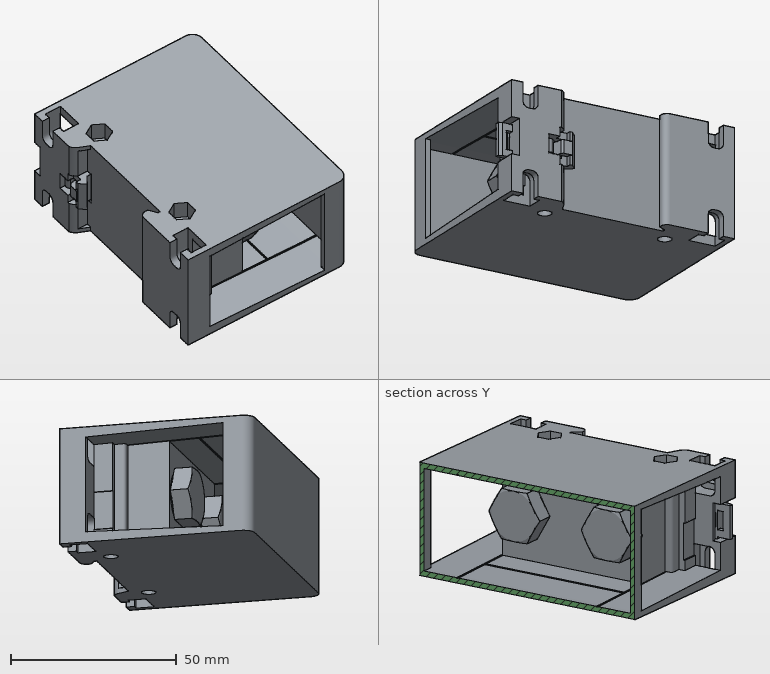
import cadquery as cq
import math

LENGTH = 78.0
DEPTH = 60.05
WIDTH = 36.0
MID_X = LENGTH / 2
HALF_WIDTH = WIDTH / 2
CORNER_RADIUS = 3.5

RAIL_FLOOR_Y = 5.5
LATCH_SIDE_X = 21.0
LATCH_LIP_X = 19.4
LATCH_ROUND = 2.0
LATCH_BULGE = 0.25
END_RIB_WIDTH = 1.6
FIXED_SIDE_X = 56.2
JAW_ROOT_Y = 4.7
JAW_TIP_X = 53.5
JAW_TIP_Y = 2.95
JAW_ROUND = 2.0

END_WALL = 1.75
BACK_WALL = 2.0
FLOOR_Y = 8.15
WINDOW_TOP_Y = 51.1
DRAFT_END_Y = 52.8
WALL_AT_FLOOR = 3.2
WALL_AT_TOP = 1.85

BLOCK_X = 13.9
BLOCK_TOP_Y = 30.5
LEDGE_X = 9.0
LEDGE_TOP_Y = 14.0
LEDGE_RECESS = 0.5
LEDGE_RECESS_LENGTH = 11.7
SHELF_X = 11.2
SHELF_TOP_Y = 17.5
SHELF_ROUND = 0.95
SEAM_WIDTH = 0.4
SEAM_DEPTH = 0.2
SEAM_Y = 39.6

BOLT_X = 22.25
BOLT_FLATS = 16.0
BOLT_HEAD_HEIGHT = 5.9
BOLT_COLLAR_DIAMETER = 15.0
BOLT_COLLAR_HEIGHT = 0.5
BOLT_EDGE = 0.4

SCREW_X = 18.0
SCREW_Y = 11.0
SCREW_HOLE = 4.4
NUT_FLATS = 7.0
NUT_DEPTH = 6.0

MOUNT_X = 6.6
HEAD_WIDTH = 9.2
HEAD_Y = 2.6
HEAD_TOP_Y = 8.2
NECK_WIDTH = 5.3
NECK_LENGTH = 8.0
MOUNT_RADIUS = 2.05
HEAD_LENGTH = NECK_LENGTH + (HEAD_WIDTH - NECK_WIDTH) / 2

SLIDE_WIDTH = 10.7
SLOT_WIDTH = 12.0
TAB_OVERHANG = 2.0
TAB_SLOT_LENGTH = 2.7
TAB_BOTTOM_Y = 4.15
TAB_TOP_Y = 5.85
TAB_EDGE_Y = 4.6
TAB_CHAMFER_X = -0.75
TAB_HOLE_X = 0.55
GUIDE_TOP_Y = 7.0
GUIDE_LENGTH = 3.0
GUIDE_KEY_SETBACK = 0.5
SPRING_WIDTH = 4.4
SPRING_POCKET_X = 13.0
SPRING_POCKET_END_X = 18.7
SPRING_POCKET_WIDTH = 6.1
SPRING_POCKET_Y = 4.5
SPRING_END_X = 21.3
HEEL_TOP_Y = 1.2
HEEL_SIDE_Y = 1.9
HEEL_END_X = 15.6
VALLEY_Y = 3.8
VALLEY_START_X = 16.2
VALLEY_END_X = 16.9
RISE_END_X = 17.6
FLAT_START_X = 18.2
FLAT_START_Y = 0.6
FOOT_SLOT_X = 16.9
FOOT_SLOT_Y = 6.2
FOOT_BAR_Y = 2.1
HOOK_X = 20.6
HOOK_BOTTOM_Y = 0.4
HOOK_TOP_Y = 4.5
HOOK_TIP_X = 23.4
HOOK_TIP_Y = 2.5
HOOK_FACE_X = 21.5


def box(x0, x1, y0, y1, z0, z1):
    """Box between two opposite corners."""
    return cq.Workplane("XY").box(x1 - x0, y1 - y0, z1 - z0, centered=False).translate((x0, y0, z0))


def centered_box(x0, x1, y0, y1, width):
    """Box spread evenly about the middle plane Z = 0."""
    return box(x0, x1, y0, y1, -width / 2, width / 2)


def extruded(profile, width):
    """Closed XY profile extruded evenly about Z = 0."""
    return profile.close().extrude(width / 2, both=True)


def both_ends(shape):
    """The shape together with its mirror image at the other X end."""
    return shape.union(shape.mirror("YZ", (MID_X, 0, 0)))


def both_sides(shape):
    """The shape together with its mirror image about Z = 0."""
    return shape.union(shape.mirror("XY"))


def housing_body():
    diagonal = math.sqrt(0.5)
    jaw_mid_x = JAW_TIP_X + JAW_ROUND * (1 - diagonal)
    jaw_mid_y = JAW_ROUND * (1 - diagonal)
    lip_start_x = LATCH_LIP_X - LATCH_ROUND
    lip_mid_x = LATCH_LIP_X - LATCH_ROUND / 2 + LATCH_BULGE * diagonal
    lip_mid_y = LATCH_ROUND / 2 - LATCH_BULGE * diagonal
    profile = (
        cq.Workplane("XY")
        .moveTo(0, 0)
        .lineTo(lip_start_x, 0)
        .threePointArc((lip_mid_x, lip_mid_y), (LATCH_LIP_X, LATCH_ROUND))
        .lineTo(LATCH_SIDE_X, RAIL_FLOOR_Y)
        .lineTo(FIXED_SIDE_X, RAIL_FLOOR_Y)
        .lineTo(FIXED_SIDE_X, JAW_ROOT_Y)
        .lineTo(JAW_TIP_X, JAW_TIP_Y)
        .lineTo(JAW_TIP_X, JAW_ROUND)
        .threePointArc((jaw_mid_x, jaw_mid_y), (JAW_TIP_X + JAW_ROUND, 0))
        .lineTo(LENGTH, 0)
        .lineTo(LENGTH, DEPTH)
        .lineTo(0, DEPTH)
    )
    body = extruded(profile, WIDTH)
    body = body.edges("|Z and >Y").fillet(CORNER_RADIUS)
    relief = centered_box(
        LATCH_LIP_X, LATCH_SIDE_X, LATCH_ROUND, RAIL_FLOOR_Y, WIDTH - 2 * END_RIB_WIDTH
    )
    return body.cut(relief)


def cavity():
    """Drafted through tunnel, closed towards +Y by the back wall."""
    floor_z = HALF_WIDTH - WALL_AT_FLOOR
    top_z = HALF_WIDTH - WALL_AT_TOP
    back_y = DEPTH - BACK_WALL
    tunnel = (
        cq.Workplane("YZ")
        .polyline([
            (FLOOR_Y, -floor_z),
            (DRAFT_END_Y, -top_z),
            (back_y, -top_z),
            (back_y, top_z),
            (DRAFT_END_Y, top_z),
            (FLOOR_Y, floor_z),
        ])
        .close()
        .extrude(LENGTH)
    )
    window_lintel = both_ends(centered_box(0, END_WALL, WINDOW_TOP_Y, DEPTH, WIDTH))
    return tunnel.cut(window_lintel)


def terminal_ledges():
    """Stepped ledges at the foot of the central block, at both ends."""
    shelf = centered_box(SHELF_X, BLOCK_X, FLOOR_Y, SHELF_TOP_Y, WIDTH)
    shelf = shelf.edges("<X and >Y").fillet(SHELF_ROUND)
    ledge = centered_box(LEDGE_X, BLOCK_X, FLOOR_Y, LEDGE_TOP_Y, WIDTH)
    recess = box(LEDGE_X, LEDGE_X + LEDGE_RECESS, FLOOR_Y, LEDGE_TOP_Y, -LEDGE_RECESS_LENGTH, 0)
    return both_ends(shelf.union(ledge.cut(recess)))


def central_block():
    block = centered_box(BLOCK_X, LENGTH - BLOCK_X, FLOOR_Y, BLOCK_TOP_Y, WIDTH)
    return block.union(terminal_ledges())


def side_wall_seams():
    """Shallow grooves in the drafted cavity side walls, beside and above the block."""
    back_y = DEPTH - BACK_WALL
    cross = box(BLOCK_X - SEAM_WIDTH, BLOCK_X, SHELF_TOP_Y, back_y, 0, WIDTH)
    cross = both_ends(cross)
    along = box(BLOCK_X, LENGTH - BLOCK_X, SEAM_Y, SEAM_Y + SEAM_WIDTH, 0, WIDTH)
    grown_cavity = cavity().translate((0, 0, SEAM_DEPTH))
    return both_sides(cross.union(along).intersect(grown_cavity))


def terminal_bolt():
    collar = (
        cq.Workplane("XZ", origin=(BOLT_X, BLOCK_TOP_Y, 0))
        .circle(BOLT_COLLAR_DIAMETER / 2)
        .extrude(-BOLT_COLLAR_HEIGHT)
    )
    head_base_y = BLOCK_TOP_Y + BOLT_COLLAR_HEIGHT
    corner_diameter = BOLT_FLATS / math.cos(math.pi / 6)
    head = (
        cq.Workplane("XZ", origin=(BOLT_X, head_base_y, 0))
        .polygon(6, corner_diameter)
        .extrude(-BOLT_HEAD_HEIGHT)
    )
    rounding = (
        cq.Workplane("XZ", origin=(BOLT_X, head_base_y, 0))
        .circle(corner_diameter / 2)
        .extrude(-BOLT_HEAD_HEIGHT)
        .faces(">Y")
        .chamfer(BOLT_EDGE, corner_diameter / 2 - BOLT_FLATS / 2)
    )
    return collar.union(head.intersect(rounding))


def screw_hole():
    hole = cq.Workplane("XY").center(SCREW_X, SCREW_Y).circle(SCREW_HOLE / 2)
    hole = hole.extrude(HALF_WIDTH, both=True)
    nut = (
        cq.Workplane("XY", origin=(SCREW_X, SCREW_Y, HALF_WIDTH - NUT_DEPTH))
        .polygon(6, NUT_FLATS / math.cos(math.pi / 6))
        .extrude(NUT_DEPTH)
    )
    return hole.union(nut)


def mounting_pocket():
    """Rounded screw neck open to -Y and a wider head pocket behind it."""
    def arm(width, length, y0, y1):
        half = width / 2
        shape = box(MOUNT_X - half, MOUNT_X + half, y0, y1, HALF_WIDTH - length, HALF_WIDTH)
        return shape.edges("|Y and <Z").fillet(MOUNT_RADIUS)

    neck = arm(NECK_WIDTH, NECK_LENGTH, 0, HEAD_TOP_Y)
    head = arm(HEAD_WIDTH, HEAD_LENGTH, HEAD_Y, HEAD_TOP_Y)
    return neck.union(head)


def foot_openings():
    """Openings in the housing for the release tab, spring and hook of the foot."""
    tab_slot = centered_box(0, TAB_SLOT_LENGTH, 0, FLOOR_Y, SLOT_WIDTH)
    guide_end = TAB_SLOT_LENGTH + GUIDE_LENGTH
    guide = centered_box(TAB_SLOT_LENGTH, guide_end, TAB_TOP_Y, GUIDE_TOP_Y, SLOT_WIDTH)
    spring_pocket = centered_box(
        SPRING_POCKET_X, SPRING_POCKET_END_X, 0, SPRING_POCKET_Y, SPRING_POCKET_WIDTH
    )
    hook_slot = centered_box(FOOT_SLOT_X, SPRING_END_X, 0, FOOT_SLOT_Y, SLOT_WIDTH)
    return tab_slot.union(guide).union(spring_pocket).union(hook_slot)


def release_tab():
    profile = cq.Workplane("XY").polyline([
        (-TAB_OVERHANG, TAB_TOP_Y),
        (-TAB_OVERHANG, TAB_EDGE_Y),
        (TAB_CHAMFER_X, TAB_BOTTOM_Y),
        (TAB_SLOT_LENGTH, TAB_BOTTOM_Y),
        (TAB_SLOT_LENGTH, TAB_TOP_Y),
    ])
    hole = centered_box(
        TAB_HOLE_X, TAB_SLOT_LENGTH, TAB_BOTTOM_Y, TAB_TOP_Y, SPRING_POCKET_WIDTH
    )
    guide_end = TAB_SLOT_LENGTH + GUIDE_LENGTH
    guide_start = TAB_SLOT_LENGTH + GUIDE_KEY_SETBACK
    guide_key = centered_box(guide_start, guide_end, TAB_TOP_Y, GUIDE_TOP_Y, SPRING_WIDTH)
    return extruded(profile, SLIDE_WIDTH).cut(hole).union(guide_key)


def rail_hook():
    profile = cq.Workplane("XY").polyline([
        (FOOT_SLOT_X, FOOT_BAR_Y),
        (HOOK_X, FOOT_BAR_Y),
        (HOOK_X, HOOK_BOTTOM_Y),
        (HOOK_FACE_X, HOOK_BOTTOM_Y),
        (HOOK_TIP_X, HOOK_TIP_Y),
        (HOOK_X, HOOK_TOP_Y),
        (HOOK_X, FOOT_SLOT_Y),
        (FOOT_SLOT_X, FOOT_SLOT_Y),
    ])
    bar = extruded(profile, SLIDE_WIDTH)
    pocket = centered_box(
        FOOT_SLOT_X, SPRING_POCKET_END_X, FOOT_BAR_Y, SPRING_POCKET_Y, SPRING_POCKET_WIDTH
    )
    return bar.cut(pocket)


def spring_tongue():
    """Spring strip: a convex heel, a valley, then a steep rise to the flat end at the hook."""
    heel_mid_x = (SPRING_POCKET_X + HEEL_END_X) / 2
    profile = (
        cq.Workplane("XY")
        .moveTo(SPRING_POCKET_X, SPRING_POCKET_Y)
        .lineTo(SPRING_POCKET_X, HEEL_SIDE_Y)
        .threePointArc((heel_mid_x, HEEL_TOP_Y), (HEEL_END_X, HEEL_SIDE_Y))
        .lineTo(VALLEY_START_X, VALLEY_Y)
        .lineTo(VALLEY_END_X, VALLEY_Y)
        .lineTo(RISE_END_X, FLAT_START_Y)
        .lineTo(FLAT_START_X, 0)
        .lineTo(SPRING_END_X, 0)
        .lineTo(SPRING_END_X, FOOT_BAR_Y)
        .lineTo(SPRING_POCKET_END_X, FOOT_BAR_Y)
        .lineTo(SPRING_POCKET_END_X, SPRING_POCKET_Y)
    )
    return extruded(profile, SPRING_WIDTH)


housing = housing_body()
housing = housing.cut(cavity().cut(central_block()))
housing = housing.cut(side_wall_seams())
housing = housing.cut(both_ends(screw_hole()))
housing = housing.cut(both_sides(both_ends(mounting_pocket())))
housing = housing.cut(foot_openings())
housing = housing.union(both_ends(terminal_bolt()))
result = housing.union(release_tab()).union(rail_hook()).union(spring_tongue())